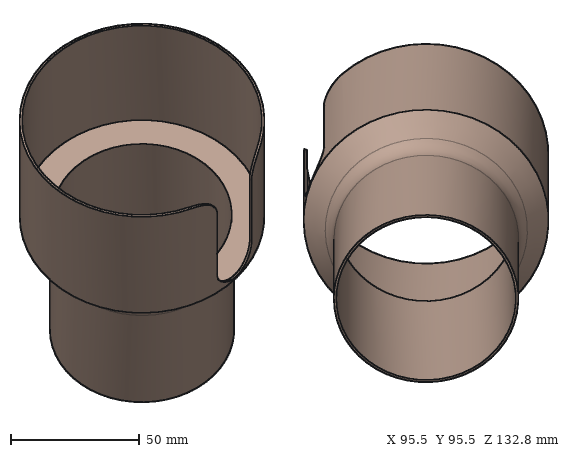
import cadquery as cq
import math

height = 132.8
cup_diameter = 95.5
pipe_diameter = 72.0
bore_diameter = 70.0
wall = (pipe_diameter - bore_diameter) / 2
shoulder_height = 71.8
neck_radius = 11.7
flare_angle = math.radians(45)
slot_width = 21.2
slot_corner_radius = 10.6

cup_radius = cup_diameter / 2
pipe_radius = pipe_diameter / 2
bore_radius = bore_diameter / 2
cup_inner_radius = cup_radius - wall
floor_height = shoulder_height + wall
flare_start_radius = pipe_radius + neck_radius * (1 - math.cos(flare_angle))
flare_start_height = shoulder_height - (cup_radius - flare_start_radius) / math.tan(flare_angle)
neck_start_height = flare_start_height - neck_radius * math.sin(flare_angle)
neck_middle = (
    pipe_radius + neck_radius * (1 - math.cos(flare_angle / 2)),
    neck_start_height + neck_radius * math.sin(flare_angle / 2),
)


def make_body():
    """Revolve the pipe, rounded neck, conical flare and flat-floored cup."""
    return (
        cq.Workplane("XZ")
        .moveTo(bore_radius, 0)
        .lineTo(pipe_radius, 0)
        .lineTo(pipe_radius, neck_start_height)
        .threePointArc(neck_middle, (flare_start_radius, flare_start_height))
        .lineTo(cup_radius, shoulder_height)
        .lineTo(cup_radius, height)
        .lineTo(cup_inner_radius, height)
        .lineTo(cup_inner_radius, floor_height)
        .lineTo(bore_radius, floor_height)
        .close()
        .revolve(360, (0, 0, 0), (0, 1, 0))
    )


def make_slot_cutter():
    """Round-bottomed slot through the +X wall, with its mouth corners rounded outward."""
    half_width = slot_width / 2
    mouth_half_width = half_width + slot_corner_radius
    side_bottom = floor_height + half_width
    side_top = height - slot_corner_radius
    arc_rise = slot_corner_radius * math.sin(math.pi / 4)
    arc_middle_y = mouth_half_width - arc_rise
    arc_middle_z = side_top + arc_rise
    return (
        cq.Workplane("YZ")
        .moveTo(-mouth_half_width, height)
        .threePointArc((-arc_middle_y, arc_middle_z), (-half_width, side_top))
        .lineTo(-half_width, side_bottom)
        .threePointArc((0, floor_height), (half_width, side_bottom))
        .lineTo(half_width, side_top)
        .threePointArc((arc_middle_y, arc_middle_z), (mouth_half_width, height))
        .close()
        .extrude(cup_diameter)
    )


result = make_body().cut(make_slot_cutter())